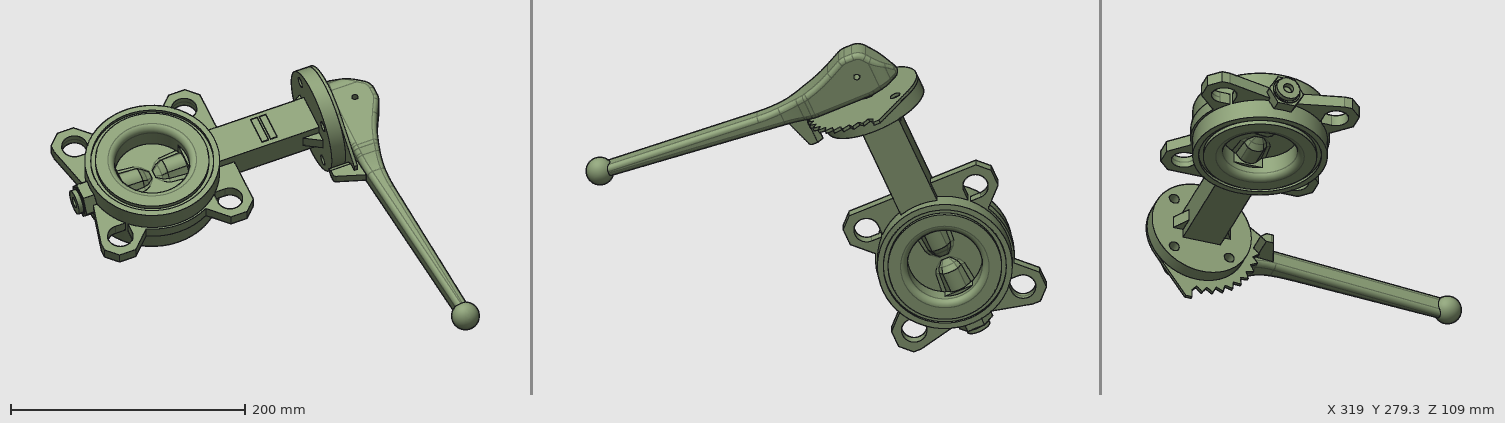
import cadquery as cq
import math


body_radius = 57.55
body_half_height = 23.0
seat_half_height = 24.0
seat_radius = 48.5
groove_radius = 52.45
groove_depth = 3.8
throat_radius = 32.05
lip_radius = 5.7
pad_offset = 29.3
pad_half_height = 12.5
pad_overlap = 1.5

disc_half_thickness = 2.07
hub_inner_y = 11.5
hub_nose_y = 6.7
hub_tip_y = 1.5

lug_thickness = 10.5
lug_band_radius = 59.3
lug_half_width = 69.0
lug_corner = 10.0
lug_side_length = 25.0
lug_flank_run = 28.7
lug_foot_x = 52.0
lug_foot_rise = 12.0
lug_hole_place = 50.7
lug_hole_radius = 11.0

hex_flats = 26.8
hex_end_y = -67.0
collar_diameter = 24.0
collar_height = 1.0
plug_diameter = 21.0
plug_end_y = -72.0
plug_bore_diameter = 9.0
plug_bore_depth = 4.8

neck_width = 33.8
neck_thickness = 26.8
flange_radius = 45.0
flange_bottom_y = 147.3
flange_thickness = 12.8
flange_hole_diameter = 9.0
flange_hole_place = 25.0
gusset_length = 15.0
gusset_reach = 9.0
gusset_thickness = 11.0
label_width = 25.2
label_height = 6.0
label_relief = 1.0
label_places = (107.3, 99.35)

notch_plate_thickness = 3.0
notch_root_radius = 52.0
notch_tip_radius = 57.0
notch_pitch = 10.0
notch_count = 9
stop_reach = 64.0
stop_inner = 4.0
stop_root = 56.8
stop_outer = 10.0

stem_square = 11.0
stem_diameter = 12.0
stem_overlap = 3.2

lever_bottom_y = 165.5
lever_top_y = 207.3
head_bottom_x = -5.7
head_bottom_round = 25.5
head_top_left_x = -10.5
head_top_right_x = 6.5
head_top_round = 13.0
nose_x = -36.7
nose_y = 171.5
nose_round = 6.0
throat_x = 56.0
throat_round = 137.0
handle_bottom_x = 49.0
handle_bottom_round = 95.7
handle_bottom_slope = 0.105
handle_top_slope = 0.073
handle_end_height = 10.0
arm_fillet = 4.5

head_half_thickness = 14.0
handle_half_thickness = 9.2
nose_plan_x = -34.5
nose_plan_round = 3.8
nose_shoulder_round = 15.3
flare_start_x = 48.5
flare_start_round = 12.8
flare_end_x = 65.5
flare_end_round = 63.8

ball_radius = 11.95
ball_x = 238.07
ball_y = 190.0
pin_hole_diameter = 5.0
pin_hole_y = 187.5

latch_tip_x = 51.5
latch_shoulder_x = 56.5
latch_half_thickness = 4.0
latch_bottom_y = 141.5
latch_top_y = 170.5
latch_back_bottom_x = 63.0
latch_back_top_x = 72.0
latch_back_top_y = 167.7
latch_round = 2.5

flange_top_y = flange_bottom_y + flange_thickness
notch_plate_top_y = flange_top_y + notch_plate_thickness


def rounded_outline(plane, corners):
    """Closed outline through (across, up, radius) corners, each rounded by a tangent arc; radius 0 is sharp."""
    outline = cq.Workplane(plane)
    for index, (across, up, radius) in enumerate(corners):
        corner = cq.Vector(across, up)
        draw_to = outline.lineTo if index else outline.moveTo
        if radius == 0:
            outline = draw_to(corner.x, corner.y)
            continue
        to_last = (cq.Vector(*corners[index - 1][:2]) - corner).normalized()
        to_next = (cq.Vector(*corners[(index + 1) % len(corners)][:2]) - corner).normalized()
        half_angle = to_last.getAngle(to_next) / 2
        tangent_length = radius / math.tan(half_angle)
        arc_start = corner + to_last * tangent_length
        arc_end = corner + to_next * tangent_length
        arc_middle = corner + (to_last + to_next).normalized() * (radius / math.sin(half_angle) - radius)
        outline = draw_to(arc_start.x, arc_start.y)
        outline = outline.threePointArc((arc_middle.x, arc_middle.y), (arc_end.x, arc_end.y))
    return outline.close()


def cylinder_y(diameter, y_low, y_high):
    """Solid cylinder on the stem axis between two places along Y."""
    return cq.Workplane("XZ", origin=(0, y_low, 0)).circle(diameter / 2).extrude(y_low - y_high)


def polar(radius, degrees):
    angle = math.radians(degrees)
    return (radius * math.cos(angle), radius * math.sin(angle))


def body_ring():
    groove_floor = seat_half_height - groove_depth
    lip_start = throat_radius + lip_radius
    lip_end = seat_half_height - lip_radius
    lip_mid = lip_radius * (1 - math.sqrt(0.5))
    upper_half = (
        cq.Workplane("XZ")
        .moveTo(throat_radius, 0)
        .lineTo(throat_radius, lip_end)
        .threePointArc((throat_radius + lip_mid, seat_half_height - lip_mid), (lip_start, seat_half_height))
        .lineTo(seat_radius, seat_half_height)
        .lineTo(seat_radius, groove_floor)
        .lineTo(groove_radius, groove_floor)
        .lineTo(groove_radius, body_half_height)
        .lineTo(body_radius, body_half_height)
        .lineTo(body_radius, 0)
        .close()
        .revolve(360, (0, 0, 0), (0, 1, 0))
    )
    return upper_half.union(upper_half.mirror("XY"))


def stem_pads():
    """Flat pads on the throat wall where the stem enters."""
    pads = cq.Workplane("XY").circle(throat_radius + pad_overlap).extrude(pad_half_height, both=True)
    gap = cq.Workplane("XY").box(3 * throat_radius, 2 * pad_offset, 3 * pad_half_height)
    return pads.cut(gap)


def disc_hub():
    """Upper hub on the +Y half of the disc, tapering towards the bore axis."""
    stations = (
        (pad_offset, 15.3, 11.5, 7.0, 3.2, 8.3, 11.0),
        (hub_inner_y, 13.5, 10.2, 7.0, 3.2, 8.0, 10.2),
        (hub_nose_y, 11.0, 8.3, 5.7, 2.5, 4.8, 6.0),
        (hub_tip_y, 4.8, 3.8, 2.5, 2.07, 2.1, 2.15),
    )
    hub = cq.Workplane("XZ")
    last_y = 0
    for y, base, shoulder, crown, shoulder_z, crown_z, top_z in stations:
        hub = hub.workplane(offset=last_y - y)
        last_y = y
        hub = (
            hub.moveTo(-base, 0)
            .lineTo(-base, disc_half_thickness)
            .lineTo(-shoulder, shoulder_z)
            .lineTo(-crown, crown_z)
            .threePointArc((0, top_z), (crown, crown_z))
            .lineTo(shoulder, shoulder_z)
            .lineTo(base, disc_half_thickness)
            .lineTo(base, 0)
            .close()
        )
    return hub.loft(ruled=True)


def butterfly_disc():
    disc = cq.Workplane("XY").circle(throat_radius).extrude(disc_half_thickness, both=True)
    hub = disc_hub()
    for piece in (hub, hub.mirror("XZ")):
        disc = disc.union(piece).union(piece.mirror("XY"))
    return disc


def lug_hole(x_side, y_side):
    """Teardrop hole: round outside, square corner towards the bore."""
    cutter = (
        cq.Workplane("XY")
        .center(x_side * lug_hole_place, y_side * lug_hole_place)
        .circle(lug_hole_radius)
        .extrude(lug_thickness, both=True)
    )
    corner_place = lug_hole_place - lug_hole_radius / 2
    corner = (
        cq.Workplane("XY")
        .center(x_side * corner_place, y_side * corner_place)
        .rect(lug_hole_radius, lug_hole_radius)
        .extrude(lug_thickness, both=True)
    )
    return cutter.union(corner)


def lug_plate():
    edge = lug_half_width
    flank = edge - lug_side_length
    right_side = [
        (0, lug_foot_rise - edge),
        (lug_foot_x, -edge),
        (edge - lug_corner, -edge),
        (edge, lug_corner - edge),
        (edge, -flank),
        (edge - lug_flank_run, lug_flank_run - flank),
        (edge - lug_flank_run, flank - lug_flank_run),
        (edge, flank),
        (edge, edge - lug_corner),
        (edge - lug_corner, edge),
    ]
    left_side = [(-x, y) for x, y in reversed(right_side[1:])]
    plate = cq.Workplane("XY").polyline(right_side + left_side).close().extrude(lug_thickness / 2, both=True)
    plate = plate.union(cq.Workplane("XY").circle(lug_band_radius).extrude(lug_thickness / 2, both=True))
    for x_side in (-1, 1):
        for y_side in (-1, 1):
            plate = plate.cut(lug_hole(x_side, y_side))
    bore = cq.Workplane("XY").circle(groove_radius).extrude(lug_thickness, both=True)
    return plate.cut(bore)


def bottom_plug():
    hexagon = (
        cq.Workplane("XZ", origin=(0, -groove_radius, 0))
        .polygon(6, hex_flats / math.cos(math.pi / 6))
        .extrude(-hex_end_y - groove_radius)
    )
    collar = cylinder_y(collar_diameter, hex_end_y - collar_height, hex_end_y)
    plug = cylinder_y(plug_diameter, plug_end_y, hex_end_y)
    bore = cylinder_y(plug_bore_diameter, plug_end_y, plug_end_y + plug_bore_depth)
    return hexagon.union(collar).union(plug).cut(bore)


def neck():
    length = flange_bottom_y - groove_radius
    middle = (flange_bottom_y + groove_radius) / 2
    post = cq.Workplane("XY").center(0, middle).box(neck_width, length, neck_thickness)
    for place in label_places:
        label = (
            cq.Workplane("XY", origin=(0, place, neck_thickness / 2))
            .rect(label_width, label_height)
            .extrude(label_relief)
        )
        post = post.union(label)
    half = neck_width / 2
    gussets = (
        cq.Workplane("XY")
        .polyline([
            (-half - gusset_reach, flange_bottom_y),
            (half + gusset_reach, flange_bottom_y),
            (half, flange_bottom_y - gusset_length),
            (-half, flange_bottom_y - gusset_length),
        ])
        .close()
        .extrude(gusset_thickness / 2, both=True)
    )
    return post.union(gussets)


def flange_hole(x_side, z_side):
    hole = cylinder_y(flange_hole_diameter, flange_bottom_y, notch_plate_top_y)
    return hole.translate((x_side * flange_hole_place, 0, z_side * flange_hole_place))


def top_flange():
    flange = cylinder_y(2 * flange_radius, flange_bottom_y, flange_top_y)
    for x_side in (-1, 1):
        for z_side in (-1, 1):
            flange = flange.cut(flange_hole(x_side, z_side))
    return flange


def make_valve():
    valve = body_ring()
    for part in (stem_pads(), butterfly_disc(), lug_plate(), bottom_plug(), neck(), top_flange()):
        valve = valve.union(part)
    return valve


def notched_plate():
    """Round plate with a quarter of notches between two stops, symmetric about a diagonal."""
    stop_distance = math.hypot(stop_reach, stop_outer)
    stop_angle = math.atan2(stop_outer, stop_reach)
    tangent = polar(flange_radius, math.degrees(stop_angle + math.acos(flange_radius / stop_distance)))
    stop = [tangent, (stop_reach, stop_outer), (stop_reach, stop_inner), (stop_root, stop_inner)]
    outline = [(0, 0)] + stop
    for notch in range(notch_count):
        outline.append(polar(notch_root_radius, -notch * notch_pitch))
        outline.append(polar(notch_tip_radius, -(notch + 0.5) * notch_pitch))
    outline.append(polar(notch_root_radius, -notch_count * notch_pitch))
    outline += [(-z, -x) for x, z in reversed(stop)]
    sector = (
        cq.Workplane("XZ", origin=(0, flange_top_y, 0))
        .polyline(outline)
        .close()
        .extrude(-notch_plate_thickness)
    )
    plate = sector.union(cylinder_y(2 * flange_radius, flange_top_y, notch_plate_top_y))
    for side in (-1, 1):
        plate = plate.cut(flange_hole(side, side))
    return plate


def stem():
    height = lever_bottom_y + stem_overlap - flange_top_y
    square = cq.Workplane("XY", origin=(0, flange_top_y + height / 2, 0)).box(stem_square, height, stem_square)
    return square.intersect(cylinder_y(stem_diameter, flange_top_y, flange_top_y + height))


def arm_side():
    """Arm outline along Z: a high head on the left and a slim, slightly rising handle."""
    bottom_end_y = lever_bottom_y + handle_bottom_slope * (ball_x - handle_bottom_x)
    top_end_y = bottom_end_y + handle_end_height
    throat_y = top_end_y - handle_top_slope * (ball_x - throat_x)
    corners = [
        (head_bottom_x, lever_bottom_y, head_bottom_round),
        (handle_bottom_x, lever_bottom_y, handle_bottom_round),
        (ball_x, bottom_end_y, 0),
        (ball_x, top_end_y, 0),
        (throat_x, throat_y, throat_round),
        (head_top_right_x, lever_top_y, head_top_round),
        (head_top_left_x, lever_top_y, head_top_round),
        (nose_x, nose_y, nose_round),
    ]
    return rounded_outline("XY", corners).extrude(2 * head_half_thickness, both=True)


def arm_plan():
    """Arm outline along Y: thick head with a pointed nose, narrowing to the handle."""
    shoulder_x = nose_plan_x + head_half_thickness
    half = [
        (nose_plan_x, 0, nose_plan_round),
        (shoulder_x, head_half_thickness, nose_shoulder_round),
        (flare_start_x, head_half_thickness, flare_start_round),
        (flare_end_x, handle_half_thickness, flare_end_round),
        (ball_x, handle_half_thickness, 0),
    ]
    other_half = [(x, -z, radius) for x, z, radius in reversed(half[1:])]
    return rounded_outline("XZ", half + other_half).extrude(-2 * lever_top_y)


def latch():
    """Wedge-nosed blade that drops from the arm into a notch."""
    section = [
        (latch_tip_x, 0),
        (latch_shoulder_x, latch_half_thickness),
        (latch_back_top_x, latch_half_thickness),
        (latch_back_top_x, -latch_half_thickness),
        (latch_shoulder_x, -latch_half_thickness),
    ]
    blade = (
        cq.Workplane("XZ", origin=(0, latch_bottom_y, 0))
        .polyline(section)
        .close()
        .extrude(latch_bottom_y - latch_top_y)
    )
    side_corners = [
        (latch_tip_x, latch_bottom_y, 0),
        (latch_back_bottom_x, latch_bottom_y, latch_round),
        (latch_back_top_x, latch_back_top_y, 0),
        (latch_back_top_x, latch_top_y, 0),
        (latch_tip_x, latch_top_y, 0),
    ]
    return blade.intersect(rounded_outline("XY", side_corners).extrude(2 * latch_half_thickness, both=True))


def make_lever():
    arm = arm_side().intersect(arm_plan()).edges("not(|Y or |Z)").fillet(arm_fillet)
    ball = cq.Workplane("XY").sphere(ball_radius).translate((ball_x, ball_y, 0))
    pin_hole = (
        cq.Workplane("XY")
        .center(0, pin_hole_y)
        .circle(pin_hole_diameter / 2)
        .extrude(2 * head_half_thickness, both=True)
    )
    lever = arm.cut(pin_hole)
    for part in (ball, latch(), stem(), notched_plate()):
        lever = lever.union(part)
    return lever


valve = make_valve()
lever = make_lever()
result = cq.Compound.makeCompound([valve.val(), lever.val()])